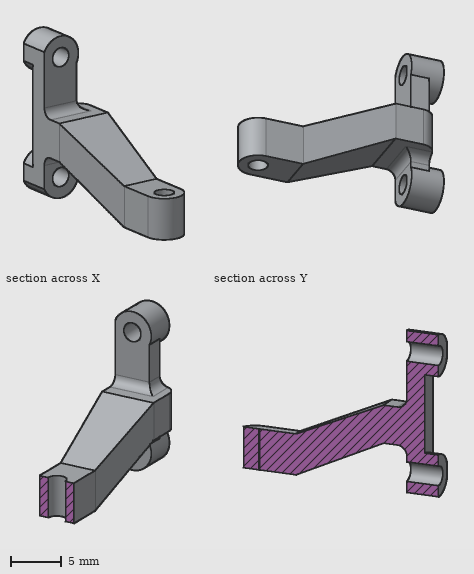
import cadquery as cq

length = 21.55
arm_width = 6.0
half_width = arm_width / 2

ear_pitch = 12.5
ear_radius = 2.2
ear_center_y = -1.0
plate_front_x = 1.5
plate_back_x = 3.5
plate_side_y = 1.0
hole_radius = 1.0

hub_top_z = 0.37
hub_height = 4.0
hub_bottom_z = hub_top_z - hub_height
hub_back_x = 6.0
hub_corner_radius = 1.5
root_fillet = 1.0
crank_end_x = 15.54
tip_top_z = -3.85
tip_height = 4.3
tip_bottom_z = tip_top_z - tip_height
tip_radius = 2.0
tip_center_x = length - tip_radius


def box(x_min, x_max, y_min, y_max, z_min, z_max):
    size = (x_max - x_min, y_max - y_min, z_max - z_min)
    return cq.Workplane("XY").box(*size, centered=False).translate((x_min, y_min, z_min))


def flared_profile(plane, inner, face):
    """Plate outline whose outer face curves out to meet the hub above and below."""
    half_pitch = ear_pitch / 2
    reach = face + root_fillet
    return (
        cq.Workplane(plane)
        .moveTo(inner, -half_pitch)
        .lineTo(face, -half_pitch)
        .lineTo(face, hub_bottom_z - root_fillet)
        .radiusArc((reach, hub_bottom_z), root_fillet)
        .lineTo(reach, hub_top_z)
        .radiusArc((face, hub_top_z + root_fillet), root_fillet)
        .lineTo(face, half_pitch)
        .lineTo(inner, half_pitch)
        .close()
    )


def rounded_block(z_min, z_max):
    """Full-width block with its front +Y corner rounded."""
    block = box(plate_front_x, hub_back_x, -half_width, half_width, z_min, z_max)
    return block.edges("|Z and <X and >Y").fillet(hub_corner_radius)


def make_plate():
    """Crossed flared outlines, with mitred root fillets that follow the hub's rounded corner."""
    along_x = flared_profile("XZ", plate_front_x, plate_back_x).extrude(half_width, both=True)
    along_y = flared_profile("YZ", -half_width, plate_side_y).extrude(length)
    hub_outline = rounded_block(-ear_pitch / 2, ear_pitch / 2)
    return along_x.intersect(along_y).intersect(hub_outline)


def make_ear(center_z):
    """Round ear, trimmed flush with the -Y side of the arm."""
    ear = cq.Workplane("YZ").center(ear_center_y, center_z).circle(ear_radius).extrude(plate_back_x)
    trim = box(0, plate_back_x, -half_width, half_width, center_z - ear_radius, center_z + ear_radius)
    return ear.intersect(trim)


def make_arm():
    """Sloping, tapering crank followed by a level tip with a round end."""
    side = (
        cq.Workplane("XZ")
        .moveTo(hub_back_x, hub_bottom_z)
        .lineTo(crank_end_x, tip_bottom_z)
        .lineTo(length, tip_bottom_z)
        .lineTo(length, tip_top_z)
        .lineTo(crank_end_x, tip_top_z)
        .lineTo(hub_back_x, hub_top_z)
        .close()
        .extrude(half_width, both=True)
    )
    plan = (
        cq.Workplane("XY", origin=(0, 0, tip_bottom_z))
        .moveTo(hub_back_x, -half_width)
        .lineTo(crank_end_x, -tip_radius)
        .lineTo(tip_center_x, -tip_radius)
        .threePointArc((length, 0), (tip_center_x, tip_radius))
        .lineTo(crank_end_x, tip_radius)
        .lineTo(hub_back_x, half_width)
        .close()
        .extrude(hub_top_z - tip_bottom_z)
    )
    return side.intersect(plan)


result = make_plate().union(rounded_block(hub_bottom_z, hub_top_z)).union(make_arm())

for ear_z in (-ear_pitch / 2, ear_pitch / 2):
    result = result.union(make_ear(ear_z))
    ear_hole = cq.Workplane("YZ").center(ear_center_y, ear_z).circle(hole_radius).extrude(plate_back_x)
    result = result.cut(ear_hole)

tip_hole = (
    cq.Workplane("XY", origin=(tip_center_x, 0, tip_bottom_z))
    .circle(hole_radius)
    .extrude(tip_height)
)
result = result.cut(tip_hole)